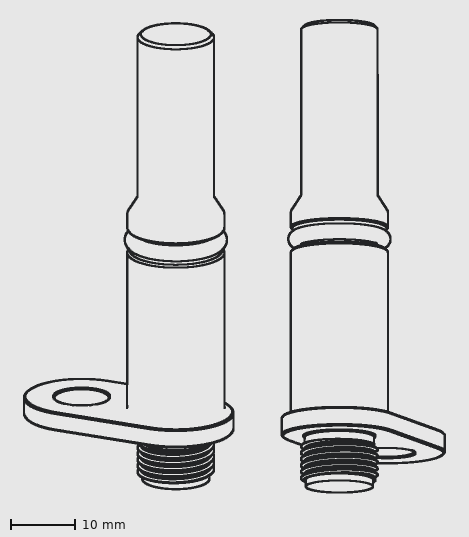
import cadquery as cq

plate_length = 34.5
plate_width = 18.0
plate_radius = plate_width / 2
hole_spacing = plate_length - plate_width
plate_bottom = 8.0
plate_top = 11.0
plate_edge_chamfer = 0.2
mount_hole_diameter = 8.5

barrel_radius = 15.2 / 2
barrel_top = 37.5
barrel_edge_chamfer = 0.4
base_fillet = 0.7

groove_diameter = 11.0
groove_width = 3.4
groove_fillet = 0.2
ring_section_diameter = 2.5

collar_bottom = barrel_top + groove_width
collar_edge_chamfer = 0.2
taper_bottom = 43.6
taper_top = 46.1
taper_edge_fillet = 0.4
tip_radius = 12.0 / 2
tip_top = 73.0
tip_chamfer = 0.5

connector_radius = 10.9 / 2
connector_end_radius = 10.5 / 2
neck_flare = 0.2
thread_bottom = 1.1
thread_top = 6.5
thread_turns = 5.4
thread_pitch = (thread_top - thread_bottom) / thread_turns
thread_crest_radius = 12.0 / 2
thread_root_width = 0.9
thread_crest_width = 0.1
thread_crest_height = 1.5
thread_sink = 0.15


def make_plate():
    """Stadium plate with a mounting hole, every edge of both faces chamfered."""
    thickness = plate_top - plate_bottom
    plate = (
        cq.Workplane("XY", origin=(-hole_spacing / 2, 0, plate_bottom))
        .slot2D(plate_length, plate_width)
        .extrude(thickness)
    )
    mount_hole = (
        cq.Workplane("XY", origin=(-hole_spacing, 0, plate_bottom))
        .circle(mount_hole_diameter / 2)
        .extrude(thickness)
    )
    return plate.cut(mount_hole).faces("<Z or >Z").edges().chamfer(plate_edge_chamfer)


def make_post():
    """Turned part of the probe, from the end of the connector to the tip."""
    groove_radius = groove_diameter / 2
    profile = (
        cq.Workplane("XZ")
        .lineTo(connector_end_radius, 0)
        .lineTo(connector_end_radius, thread_bottom)
        .lineTo(connector_radius, thread_bottom)
        .lineTo(connector_radius, plate_bottom - neck_flare)
        .lineTo(connector_radius + neck_flare, plate_bottom)
        .lineTo(connector_radius + neck_flare, plate_top)
        .lineTo(barrel_radius + base_fillet, plate_top)
        .radiusArc((barrel_radius, plate_top + base_fillet), base_fillet)
        .lineTo(barrel_radius, barrel_top - barrel_edge_chamfer)
        .lineTo(barrel_radius - barrel_edge_chamfer, barrel_top)
        .lineTo(groove_radius + groove_fillet, barrel_top)
        .radiusArc((groove_radius, barrel_top + groove_fillet), groove_fillet)
        .lineTo(groove_radius, collar_bottom - groove_fillet)
        .radiusArc((groove_radius + groove_fillet, collar_bottom), groove_fillet)
        .lineTo(barrel_radius - collar_edge_chamfer, collar_bottom)
        .lineTo(barrel_radius, collar_bottom + collar_edge_chamfer)
        .lineTo(barrel_radius, taper_bottom)
        .lineTo(tip_radius, taper_top)
        .lineTo(tip_radius, tip_top - tip_chamfer)
        .lineTo(tip_radius - tip_chamfer, tip_top)
        .lineTo(0, tip_top)
        .close()
    )
    post = profile.revolve(360, (0, 0, 0), (0, 1, 0))
    around_taper = cq.selectors.BoxSelector(
        (-barrel_radius, -barrel_radius, taper_bottom - taper_edge_fillet),
        (barrel_radius, barrel_radius, taper_top + taper_edge_fillet),
    )
    return post.edges("%CIRCLE").edges(around_taper).fillet(taper_edge_fillet)


def make_thread():
    """Right-hand thread ridge, cut off flat at both ends of the threaded length."""
    start = thread_crest_height - thread_pitch
    helix = cq.Wire.makeHelix(
        thread_pitch,
        thread_top + thread_pitch - start,
        connector_radius,
        center=cq.Vector(0, 0, start),
    )
    root_radius = connector_radius - thread_sink
    ridge = (
        cq.Workplane("XZ", origin=(0, 0, start))
        .moveTo(root_radius, -thread_root_width / 2)
        .lineTo(thread_crest_radius, -thread_crest_width / 2)
        .lineTo(thread_crest_radius, thread_crest_width / 2)
        .lineTo(root_radius, thread_root_width / 2)
        .close()
        .sweep(cq.Workplane(helix), isFrenet=True)
    )
    threaded_length = (
        cq.Workplane("XY", origin=(0, 0, thread_bottom))
        .circle(plate_radius)
        .extrude(thread_top - thread_bottom)
    )
    return ridge.intersect(threaded_length)


def make_sealing_ring():
    """Round-section ring resting on the bottom of the groove, midway along it."""
    section_radius = ring_section_diameter / 2
    center_radius = groove_diameter / 2 + section_radius
    return (
        cq.Workplane("XZ", origin=(0, 0, barrel_top + groove_width / 2))
        .moveTo(center_radius, 0)
        .circle(section_radius)
        .revolve(360, (0, 0, 0), (0, 1, 0))
    )


probe = make_post().union(make_plate()).union(make_thread())
sealing_ring = make_sealing_ring()

result = cq.Compound.makeCompound([probe.val(), sealing_ring.val()])